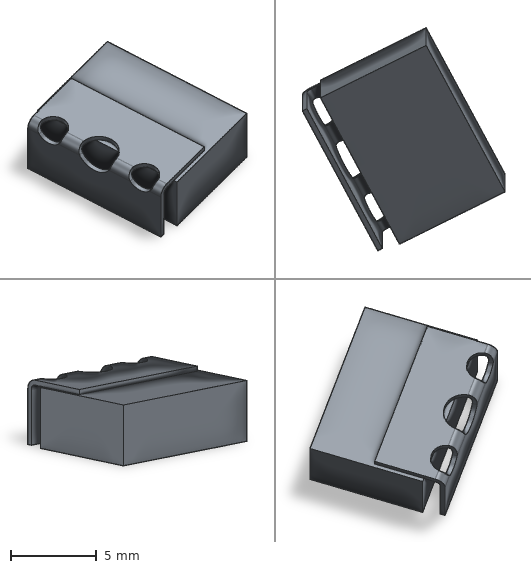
import cadquery as cq
import math

block_width = 10.0
block_depth = 6.92
block_height = 3.62

sheet_width = 9.55
sheet_thickness = 0.3
inner_bend_radius = 0.3
front_gap = 1.0
cover_overlap = 3.02

small_hole_radius = 0.89
large_hole_radius = 1.19
small_hole_offset = 3.27
hole_setback = 0.15
holes = [
    (-small_hole_offset, small_hole_radius),
    (0.0, large_hole_radius),
    (small_hole_offset, small_hole_radius),
]

outer_bend_radius = inner_bend_radius + sheet_thickness
neutral_radius = inner_bend_radius + sheet_thickness / 2
bend_length = neutral_radius * math.pi / 2
block_front_y = -block_depth
sheet_front_y = block_front_y - front_gap - sheet_thickness
sheet_back_y = block_front_y + cover_overlap
bend_y = sheet_front_y + outer_bend_radius
bend_z = block_height - inner_bend_radius
top_leg_length = sheet_back_y - bend_y

cutter_margin = 0.1
bend_sections = 7


def make_block():
    return cq.Workplane("XY").box(
        block_width, block_depth, block_height, centered=(True, False, False)
    ).translate((0, -block_depth, 0))


def make_top_leg():
    leg = (
        cq.Workplane("XY", origin=(0, bend_y, block_height))
        .box(sheet_width, top_leg_length, sheet_thickness, centered=(True, False, False))
    )
    for x, radius in holes:
        cutter = (
            cq.Workplane("XY", origin=(x, bend_y - hole_setback, block_height))
            .circle(radius)
            .extrude(sheet_thickness)
        )
        leg = leg.cut(cutter)
    return leg


def make_front_leg():
    leg = (
        cq.Workplane("XY", origin=(0, sheet_front_y, 0))
        .box(sheet_width, sheet_thickness, bend_z, centered=(True, False, False))
    )
    hole_z = bend_z + bend_length - hole_setback
    for x, radius in holes:
        cutter = (
            cq.Workplane("XZ", origin=(x, sheet_front_y, hole_z))
            .circle(radius)
            .extrude(-sheet_thickness)
        )
        leg = leg.cut(cutter)
    return leg


def bend_hole_section(x, radius, angle):
    """Rectangle across the sheet at one bend angle, as wide as the hole is there."""
    developed = neutral_radius * angle - hole_setback
    half_width = math.sqrt(radius**2 - developed**2)
    inner = inner_bend_radius - cutter_margin
    outer = outer_bend_radius + cutter_margin
    corners = [
        (x - half_width, inner),
        (x + half_width, inner),
        (x + half_width, outer),
        (x - half_width, outer),
    ]
    points = [
        cq.Vector(px, bend_y - r * math.sin(angle), bend_z + r * math.cos(angle))
        for px, r in corners
    ]
    return cq.Wire.makePolygon(points, close=True)


def make_bend():
    bend = (
        cq.Workplane("YZ", origin=(-sheet_width / 2, bend_y, bend_z))
        .moveTo(0, inner_bend_radius)
        .lineTo(0, outer_bend_radius)
        .radiusArc((-outer_bend_radius, 0), -outer_bend_radius)
        .lineTo(-inner_bend_radius, 0)
        .radiusArc((0, inner_bend_radius), inner_bend_radius)
        .close()
        .extrude(sheet_width)
    )
    angles = [math.pi / 2 * i / (bend_sections - 1) for i in range(bend_sections)]
    for x, radius in holes:
        sections = [bend_hole_section(x, radius, angle) for angle in angles]
        bend = bend.cut(cq.Workplane(cq.Solid.makeLoft(sections)))
    return bend


cover = make_top_leg().union(make_bend()).union(make_front_leg())
result = make_block().union(cover)